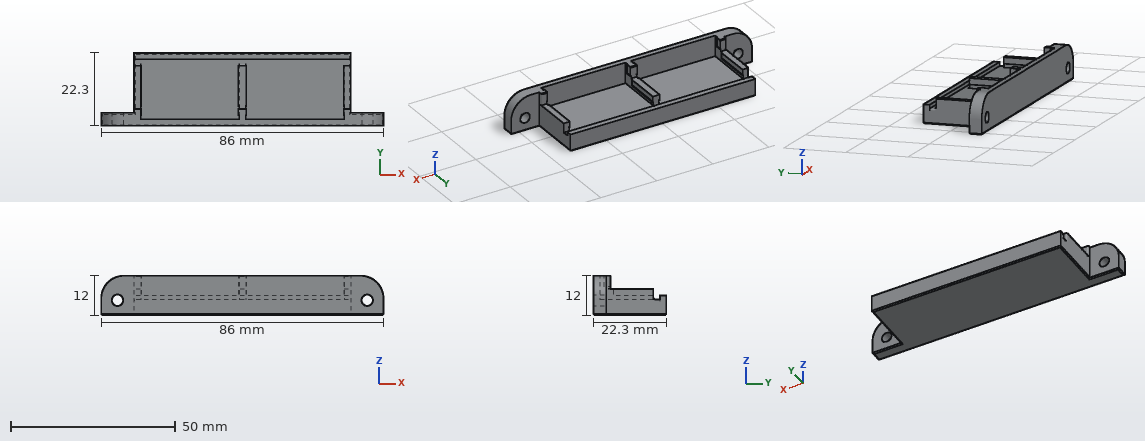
import cadquery as cq

plate_length = 86.01
plate_thickness = 4.0
plate_height = 12.0
plate_corner_radius = 7.0
hole_diameter = 3.4
hole_spacing = 76.0
hole_height = 4.5

tray_length = 66.0
part_depth = 22.25
lip_height = 6.0
lip_thickness = 2.0
front_wall = 2.0
floor_height = 4.8
panel_gap = lip_height - floor_height
lip_inner = part_depth - lip_thickness

rib_thickness = 2.0
rib_top = 8.0
rib_end = 18.3
post_end = 5.25
ridge_overhang = 0.2
ridge_setback = 2.8
ridge_front = front_wall + panel_gap
rib_ridge_start = ridge_front + ridge_setback
post_ridge_start = lip_height + ridge_setback

bottom_chamfer = 0.4
post_chamfer = 0.25
corner_radius = 0.5
select_margin = 0.05

tray_half = tray_length / 2
rib_offset = (tray_length - rib_thickness) / 2


def block(x_range, y_range, z_range):
    """Axis-aligned box between the given limits."""
    (x0, x1), (y0, y1), (z0, z1) = x_range, y_range, z_range
    return cq.Workplane("XY").box(x1 - x0, y1 - y0, z1 - z0, centered=False).translate((x0, y0, z0))


def side_prism(points, x_range):
    """Prism along X with the given (Y, Z) outline."""
    x0, x1 = x_range
    return cq.Workplane("YZ", origin=(x0, 0, 0)).polyline(points).close().extrude(x1 - x0)


def mounting_plate():
    plate = block(
        (-plate_length / 2, plate_length / 2), (0, plate_thickness), (0, plate_height)
    )
    return plate.edges("|Y and >Z").fillet(plate_corner_radius)


def tray_base():
    span = (-tray_half, tray_half)
    base = block(span, (0, part_depth), (0, floor_height))
    lip = block(span, (lip_inner, part_depth), (0, lip_height))
    return base.union(lip)


def divider(x_center):
    """L-shaped web: a post against the front wall and a rib along the floor."""
    outline = [
        (0, 0),
        (rib_end, 0),
        (rib_end, rib_top),
        (post_end, rib_top),
        (post_end, plate_height - post_chamfer),
        (post_end - post_chamfer, plate_height),
        (0, plate_height),
    ]
    return side_prism(outline, (x_center - rib_thickness / 2, x_center + rib_thickness / 2))


def snap_ridges(x_range):
    """Overhanging strips that hold a panel against the floor and the front wall."""
    rib_ridge = block(x_range, (rib_ridge_start, rib_end), (lip_height, rib_top))
    post_outline = [
        (ridge_front, post_ridge_start),
        (post_end, post_ridge_start),
        (post_end, plate_height - post_chamfer),
        (post_end - post_chamfer, plate_height),
        (ridge_front, plate_height),
    ]
    return rib_ridge.union(side_prism(post_outline, x_range))


def rib_foot(x_center):
    """Concave round where a rib end meets the floor."""
    profile = (
        cq.Workplane("YZ", origin=(x_center - rib_thickness / 2, 0, 0))
        .moveTo(rib_end, floor_height)
        .lineTo(rib_end + corner_radius, floor_height)
        .radiusArc((rib_end, floor_height + corner_radius), corner_radius)
        .close()
    )
    return profile.extrude(rib_thickness)


def side_edges(side, y_range, z_range):
    """Selector for edges lying on one end face of the tray, by the position of their centres."""
    x_face = side * tray_half
    low = (x_face - select_margin, y_range[0] - select_margin, z_range[0] - select_margin)
    high = (x_face + select_margin, y_range[1] + select_margin, z_range[1] + select_margin)
    return cq.selectors.BoxSelector(low, high)


body = mounting_plate().union(tray_base())
bay_half = tray_half - rib_thickness
body = body.cut(
    block((-bay_half, bay_half), (front_wall, lip_inner), (floor_height, plate_height))
)
body = body.faces("<Z").edges().chamfer(bottom_chamfer)

above_bevel = block((-tray_half, tray_half), (bottom_chamfer, part_depth), (bottom_chamfer, plate_height))
for center in (-rib_offset, 0, rib_offset):
    body = body.union(divider(center).intersect(above_bevel))
    ridge_left = max(center - rib_thickness / 2 - ridge_overhang, -tray_half)
    ridge_right = min(center + rib_thickness / 2 + ridge_overhang, tray_half)
    body = body.union(snap_ridges((ridge_left, ridge_right)))

for center in (-rib_offset, 0):
    body = body.union(rib_foot(center))

body = body.edges(
    side_edges(-1, (rib_end, lip_inner - corner_radius), (floor_height, rib_top - corner_radius))
).fillet(corner_radius)

for side in (-1, 1):
    post_edge = side_edges(side, (post_end, post_end), (rib_top, plate_height))
    body = body.edges("|Z").edges(post_edge).fillet(corner_radius)

holes = (
    cq.Workplane("XZ")
    .pushPoints([(-hole_spacing / 2, hole_height), (hole_spacing / 2, hole_height)])
    .circle(hole_diameter / 2)
    .extrude(-plate_thickness)
)
result = body.cut(holes)